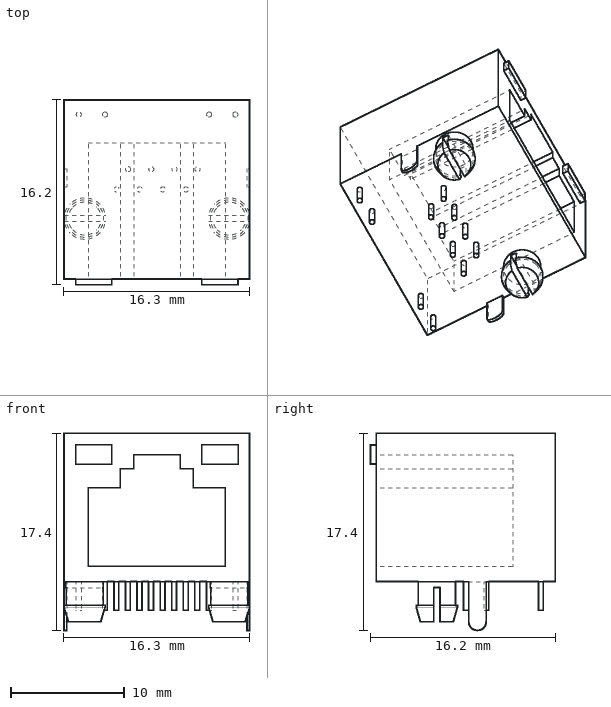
import cadquery as cq


body_width = 16.32
body_depth = 15.75
overall_height = 17.35
tab_length = 4.3
body_height = overall_height - tab_length
front_y = 0.0
rear_y = front_y + body_depth

opening_depth = 12.0
opening_floor_z = 1.33
opening_steps = [
    (12.05, 8.27),
    (6.44, 9.9),
    (4.08, 11.13),
]

led_width = 3.2
led_height = 1.7
led_protrusion = 0.5
led_center_x = 5.54
led_center_z = 11.17

pin_diameter = 0.45
pin_length = 2.54
contact_count = 8
contact_pitch = 1.016
pin_row_spacing = 1.78

post_center_x = 6.35
post_y = 5.34
post_diameter = 3.3
post_length = 3.55
barb_diameter = 3.65
barb_tip_diameter = 2.9
barb_top_z = -2.08
barb_rim_height = 0.16
post_slot_width = 0.53
post_slot_start_z = -0.53

post_to_contact_row = 2.56
led_pin_rear_inset = 1.27
front_contact_row_y = post_y + post_to_contact_row
rear_contact_row_y = front_contact_row_y + pin_row_spacing
led_pin_row_y = rear_y - led_pin_rear_inset
led_pin_inner_x = (contact_count + 1) / 2 * contact_pitch
led_pin_outer_x = 6.88

tab_width = 1.55
tab_thickness = 0.25
tab_rear_inset = 6.84
tab_y = rear_y - tab_rear_inset


def make_housing():
    """Block with the stepped plug opening cut into its front face."""
    housing = cq.Workplane("XY").box(
        body_width, body_depth, body_height, centered=(True, False, False)
    )
    for step_width, step_top_z in opening_steps:
        step = (
            cq.Workplane("XY")
            .box(step_width, opening_depth, step_top_z - opening_floor_z, centered=(True, False, False))
            .translate((0, front_y, opening_floor_z))
        )
        housing = housing.cut(step)
    return housing


def make_led(side):
    """Rectangular indicator window on the front face."""
    return (
        cq.Workplane("XZ", origin=(side * led_center_x, front_y, led_center_z))
        .rect(led_width, led_height)
        .extrude(led_protrusion)
    )


def make_pin(x, y):
    """Round terminal pin hanging from the underside."""
    return cq.Workplane("XY", origin=(x, y, 0)).circle(pin_diameter / 2).extrude(-pin_length)


def make_post(side):
    """Round post with a tapered barb, split along X by a slot open at its tip."""
    barb_radius = barb_diameter / 2
    profile = [
        (0, 0),
        (post_diameter / 2, 0),
        (post_diameter / 2, barb_top_z),
        (barb_radius, barb_top_z),
        (barb_radius, barb_top_z - barb_rim_height),
        (barb_tip_diameter / 2, -post_length),
        (0, -post_length),
    ]
    post = cq.Workplane("XZ").polyline(profile).close().revolve(360, (0, 0), (0, 1))
    slot_height = post_length + post_slot_start_z
    slot = (
        cq.Workplane("XY")
        .box(barb_diameter, post_slot_width, slot_height, centered=(True, True, False))
        .translate((0, 0, -post_length))
    )
    return post.cut(slot).translate((side * post_center_x, post_y, 0))


def make_tab(side):
    """Thin ground tab with a rounded end, flush with a side of the housing."""
    half_width = tab_width / 2
    round_start_z = half_width - tab_length
    center_x = side * (body_width - tab_thickness) / 2
    return (
        cq.Workplane("YZ", origin=(center_x, tab_y, 0))
        .moveTo(-half_width, 0)
        .lineTo(-half_width, round_start_z)
        .threePointArc((0, -tab_length), (half_width, round_start_z))
        .lineTo(half_width, 0)
        .close()
        .extrude(tab_thickness / 2, both=True)
    )


result = make_housing()

for side in (-1, 1):
    result = result.union(make_led(side))
    result = result.union(make_post(side))
    result = result.union(make_tab(side))
    for led_pin_x in (led_pin_inner_x, led_pin_outer_x):
        result = result.union(make_pin(side * led_pin_x, led_pin_row_y))

for index in range(contact_count):
    contact_x = (index - (contact_count - 1) / 2) * contact_pitch
    contact_y = front_contact_row_y if index % 2 == 0 else rear_contact_row_y
    result = result.union(make_pin(contact_x, contact_y))